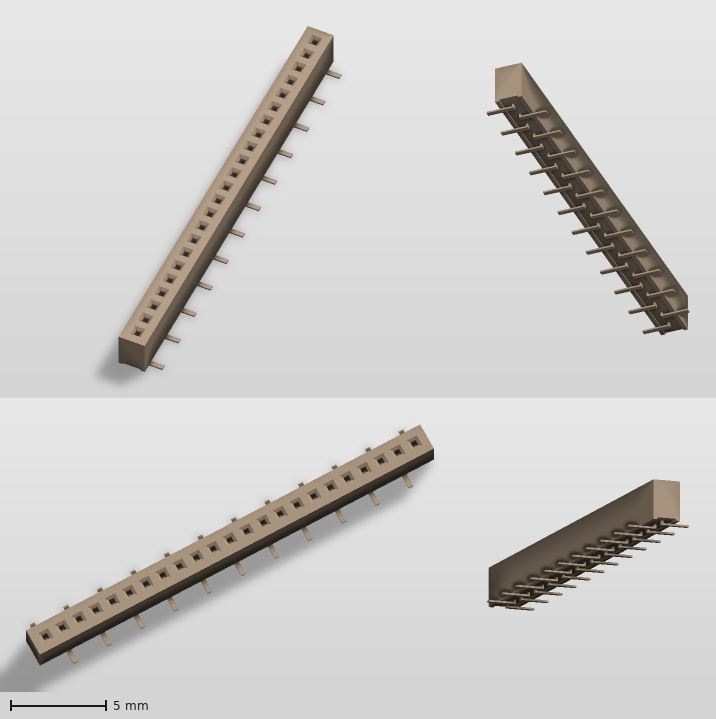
import cadquery as cq

length = 23.5
width = 1.5
height = 2.25
standoff = 0.15
foot_width = 0.24
channel_top = 0.24
channel_width = width - 2 * foot_width

contact_count = 23
end_margin = 0.75
pitch = length / (contact_count - 1 + 2 * end_margin)
contact_places = [(i - (contact_count - 1) / 2) * pitch for i in range(contact_count)]

mouth = 0.6
throat = 0.3
funnel_depth = (mouth - throat) / 2
socket_depth = 1.4

span = 2.95
sheet = 0.1
strip_width = 0.25
stem_top = 1.65


def make_housing():
    block = (
        cq.Workplane("XY", origin=(0, 0, standoff))
        .rect(width, length)
        .extrude(height - standoff)
    )
    channel = cq.Workplane("XY").rect(channel_width, length).extrude(channel_top)
    return block.cut(channel)


def make_socket(y):
    """Square hole, blind from the top face, with a funnel at its mouth."""
    funnel = (
        cq.Workplane("XY", origin=(0, y, height))
        .rect(mouth, mouth)
        .workplane(offset=-funnel_depth)
        .rect(throat, throat)
        .loft(ruled=True)
    )
    hole = (
        cq.Workplane("XY", origin=(0, y, height - socket_depth))
        .rect(throat, throat)
        .extrude(socket_depth)
    )
    return funnel.union(hole)


def make_contact(y, side):
    """Upright stem on the centre line and a flat lead out to one side (+1 or -1)."""
    profile = [
        (-side * sheet / 2, 0),
        (side * span / 2, 0),
        (side * span / 2, sheet),
        (side * sheet / 2, sheet),
        (side * sheet / 2, stem_top),
        (-side * sheet / 2, stem_top),
    ]
    strip = cq.Workplane("XZ", origin=(0, y + strip_width / 2, 0)).polyline(profile).close()
    return strip.extrude(strip_width)


result = make_housing()
for index, place in enumerate(contact_places):
    lead_side = 1 if index % 2 == 0 else -1
    result = result.cut(make_socket(place)).union(make_contact(place, lead_side))